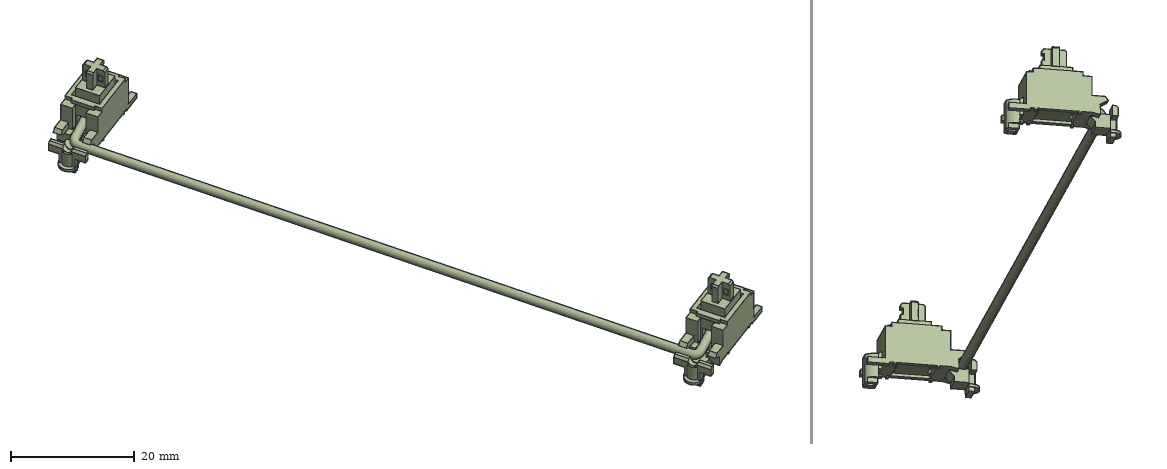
import cadquery as cq
import math


TOTAL_LENGTH = 121.1
TOTAL_DEPTH = 19.2
TOTAL_HEIGHT = 14.85
HOUSING_WIDTH = 6.8
HALF_WIDTH = HOUSING_WIDTH / 2
STATION_X = (TOTAL_LENGTH - HOUSING_WIDTH) / 2

WIRE_DIAMETER = 1.6
WIRE_Y = 3.05
WIRE_Z = 4.4
WIRE_BEND_RADIUS = 1.1
ARM_CLIMB_ANGLE = 20
ARM_LENGTH = 9.0
ARM_HOLE_DIAMETER = 1.7

BODY_FRONT = 5.45
BODY_BACK = 16.3
BODY_BOTTOM = 3.25
SHOULDER_Z = 9.5
BODY_TOP = 10.2
RIDGE_STEP = 1.5
RIDGE_TONGUE_WIDTH = 4.2
RIDGE_TONGUE_STEP = 0.4
CAVITY_WIDTH = 5.1
CAVITY_FRONT = 7.65
CAVITY_BACK = 14.2
RECESS_WIDTH = 2.5
RECESS_DEPTH = 1.05
WINDOW_WIDTH = 1.9
WINDOW_TOP = 7.4
FOOT_SIZE = 0.4
FOOT_INSET = 2.0
FLANGE_BOTTOM = 2.95

EAR_WIDTH = 1.45
EAR_TOP = 6.2
EAR_TOP_FRONT = 3.3
EAR_TIP_Y = 2.75
EAR_TIP_Z = 5.55
EAR_UNDERCUT_Z = 4.75
EAR_FRONT = 4.1

CRADLE_WIDTH = 3.3
CRADLE_BOTTOM = 1.4
CRADLE_TOP = 3.8
WEB_TOP = 4.9
CRADLE_BACK = 4.5
CRADLE_SLOPE_Z = 2.3

PLATE_FRONT = 1.1
PLATE_BACK = 2.05
PLATE_TOP = 4.75
PLATE_CHAMFER = 0.4
PLATE_NOTCH_DIAMETER = 1.7
TAB_WIDTH = 2.9
BOSS_BOTTOM = 1.2
BOSS_TOP = 3.9
BOSS_FRONT = 0.7
BOSS_RADIUS = 1.3
LIP_BOTTOM = 0.7
LIP_RADIUS = 1.7

REAR_EAR_WIDTH = 1.1
REAR_EAR_FRONT = 15.6
REAR_EAR_TOP = 3.9
PEG_RADIUS = 1.85
PEG_CENTRE_Y = 17.6
PEG_FRONT = 17.1
PEG_TOP = 5.2
PEG_BOTTOM = 0.3
PEG_FOOT_Z = 1.1
PEG_FOOT_WIDTH = 2.7
PEG_TIP_DEPTH = 1.2
RIB_WIDTH = 1.7
RIB_TOP = 6.0

STEM_WIDTH = 4.4
STEM_FRONT = 8.4
STEM_BACK = 13.85
STEM_BOTTOM = 3.6
STEM_SHOULDER_Z = 11.3
CROSS_SPAN = 4.05
CROSS_THICKNESS = 1.15
CROSS_CHAMFER = 0.3
STEM_LEG_WIDTH = 1.2
STEM_LEG_FRONT = 7.85
STEM_LEG_TOP = 9.0
POCKET_OFFSET = 1.2
POCKET_WIDTH = 0.8
POCKET_DEPTH = 0.2
POCKET_BOTTOM = 12.3
POCKET_TOP = 13.5
NOTCH_BOTTOM = 12.9
NOTCH_TOP = 14.0
NOTCH_DEPTH = 0.4


def block(x_range, y_range, z_range):
    """Box between two limits on each axis."""
    (x0, x1), (y0, y1), (z0, z1) = x_range, y_range, z_range
    return cq.Workplane("XY").box(x1 - x0, y1 - y0, z1 - z0, centered=False).translate((x0, y0, z0))


def centred_block(width, y_range, z_range):
    """Box centred on X = 0."""
    return block((-width / 2, width / 2), y_range, z_range)


def side_profile(points, x_range):
    """Prism along X from a (Y, Z) outline."""
    x0, x1 = x_range
    return cq.Workplane("YZ").polyline(points).close().extrude(x1 - x0).translate((x0, 0, 0))


def upright_cylinder(radius, y_centre, z_range):
    """Cylinder along Z on the X = 0 plane."""
    z0, z1 = z_range
    return cq.Workplane("XY").circle(radius).extrude(z1 - z0).translate((0, y_centre, z0))


def both_sides(solid):
    """The solid together with its mirror image across X = 0."""
    return solid.union(solid.mirror("YZ"))


def housing_body():
    body = centred_block(HOUSING_WIDTH, (BODY_FRONT, BODY_BACK), (BODY_BOTTOM, SHOULDER_Z))
    ridge_front = BODY_FRONT + RIDGE_STEP
    ridge_back = BODY_BACK - RIDGE_STEP + RIDGE_TONGUE_STEP
    ridge_z = (SHOULDER_Z, BODY_TOP)
    body = body.union(centred_block(HOUSING_WIDTH, (ridge_front, ridge_back), ridge_z))
    tongue_y = (ridge_front - RIDGE_TONGUE_STEP, ridge_back + RIDGE_TONGUE_STEP)
    body = body.union(centred_block(RIDGE_TONGUE_WIDTH, tongue_y, ridge_z))
    for foot_y in (BODY_FRONT + FOOT_INSET, BODY_BACK - FOOT_INSET + FOOT_SIZE):
        foot = block(
            (CAVITY_WIDTH / 2, HALF_WIDTH),
            (foot_y - FOOT_SIZE / 2, foot_y + FOOT_SIZE / 2),
            (FLANGE_BOTTOM, BODY_BOTTOM),
        )
        body = body.union(both_sides(foot))
    return body


def front_ears():
    outline = [
        (BODY_FRONT, EAR_TOP),
        (EAR_TOP_FRONT, EAR_TOP),
        (EAR_TIP_Y, EAR_TIP_Z),
        (EAR_FRONT, EAR_UNDERCUT_Z),
        (EAR_FRONT, FLANGE_BOTTOM),
        (BODY_FRONT, BODY_BOTTOM),
    ]
    return both_sides(side_profile(outline, (HALF_WIDTH - EAR_WIDTH, HALF_WIDTH)))


def wire_cradle():
    outline = [
        (PLATE_BACK, CRADLE_BOTTOM),
        (CRADLE_BACK, CRADLE_BOTTOM),
        (CRADLE_BACK, CRADLE_SLOPE_Z),
        (BODY_FRONT, BODY_BOTTOM),
        (BODY_FRONT, CRADLE_TOP),
        (PLATE_BACK, CRADLE_TOP),
    ]
    cradle = side_profile(outline, (-CRADLE_WIDTH / 2, CRADLE_WIDTH / 2))
    web = block((WINDOW_WIDTH / 2, HALF_WIDTH), (EAR_FRONT, BODY_FRONT), (BODY_BOTTOM, WEB_TOP))
    return cradle.union(both_sides(web))


def front_latch():
    plate_y = (PLATE_FRONT, PLATE_BACK)
    latch = centred_block(HOUSING_WIDTH, plate_y, (FLANGE_BOTTOM, PLATE_TOP))
    latch = latch.edges(">Z and <Y").chamfer(PLATE_CHAMFER)
    notch = cq.Workplane("XZ").circle(PLATE_NOTCH_DIAMETER / 2).extrude(-PLATE_BACK)
    latch = latch.cut(notch.translate((0, 0, PLATE_TOP)))
    latch = latch.union(centred_block(TAB_WIDTH, plate_y, (0, FLANGE_BOTTOM)))
    boss_and_lip = upright_cylinder(BOSS_RADIUS, BOSS_FRONT + BOSS_RADIUS, (BOSS_BOTTOM, BOSS_TOP))
    boss_and_lip = boss_and_lip.union(upright_cylinder(LIP_RADIUS, LIP_RADIUS, (LIP_BOTTOM, BOSS_BOTTOM)))
    front_half = centred_block(HOUSING_WIDTH, (0, PLATE_BACK), (0, PLATE_TOP))
    return latch.union(boss_and_lip.intersect(front_half))


def rear_clip():
    ear = block(
        (HALF_WIDTH - REAR_EAR_WIDTH, HALF_WIDTH),
        (REAR_EAR_FRONT, TOTAL_DEPTH),
        (FLANGE_BOTTOM, REAR_EAR_TOP),
    )
    peg_y = (PEG_FRONT, TOTAL_DEPTH)
    peg = upright_cylinder(PEG_RADIUS, PEG_CENTRE_Y, (PEG_BOTTOM, PEG_TOP))
    peg = peg.intersect(
        centred_block(2 * PEG_RADIUS, peg_y, (PEG_FOOT_Z, PEG_TOP)).union(
            centred_block(PEG_FOOT_WIDTH, peg_y, (PEG_BOTTOM, PEG_FOOT_Z))
        )
    )
    tip_start = (PEG_FRONT + TOTAL_DEPTH - PEG_TIP_DEPTH) / 2
    tip = centred_block(PEG_FOOT_WIDTH / 2, (tip_start, tip_start + PEG_TIP_DEPTH), (0, PEG_FOOT_Z))
    rib_outline = [
        (BODY_BACK, FLANGE_BOTTOM),
        (PEG_FRONT + PEG_TIP_DEPTH / 2, FLANGE_BOTTOM),
        (PEG_FRONT + PEG_TIP_DEPTH / 2, PEG_TOP),
        (BODY_BACK, RIB_TOP),
    ]
    rib = side_profile(rib_outline, (-RIB_WIDTH / 2, RIB_WIDTH / 2))
    return both_sides(ear).union(peg).union(tip).union(rib)


def make_housing():
    housing = housing_body().union(front_ears()).union(wire_cradle()).union(front_latch()).union(rear_clip())
    cavity = centred_block(CAVITY_WIDTH, (CAVITY_FRONT, CAVITY_BACK), (0, BODY_TOP))
    recess_y = (BODY_FRONT, BODY_FRONT + RECESS_DEPTH)
    recess = centred_block(RECESS_WIDTH, recess_y, (WEB_TOP, SHOULDER_Z))
    window = centred_block(WINDOW_WIDTH, (BODY_FRONT, CAVITY_FRONT), (WIRE_Z, WINDOW_TOP))
    return housing.cut(cavity).cut(recess).cut(window)


def arm_direction():
    angle = math.radians(ARM_CLIMB_ANGLE)
    return cq.Vector(0, math.cos(angle), math.sin(angle))


def make_stem():
    stem = centred_block(STEM_WIDTH, (STEM_FRONT, STEM_BACK), (STEM_BOTTOM, STEM_SHOULDER_Z))
    centre_y = (STEM_FRONT + STEM_BACK) / 2
    cross_z = (STEM_SHOULDER_Z, TOTAL_HEIGHT)
    half_span = CROSS_SPAN / 2
    half_thickness = CROSS_THICKNESS / 2
    side_arms_y = (centre_y - half_thickness, centre_y + half_thickness)
    cross = centred_block(CROSS_SPAN, side_arms_y, cross_z)
    cross = cross.union(centred_block(CROSS_THICKNESS, (centre_y - half_span, centre_y + half_span), cross_z))
    outer_tips = cross.edges(">Z").edges("<X or >X or <Y or >Y")
    stem = stem.union(outer_tips.chamfer(CROSS_CHAMFER))
    leg = block(
        (STEM_WIDTH / 2 - STEM_LEG_WIDTH, STEM_WIDTH / 2),
        (STEM_LEG_FRONT, STEM_FRONT),
        (STEM_BOTTOM, STEM_LEG_TOP),
    )
    stem = stem.union(both_sides(leg))
    pocket = block(
        (POCKET_OFFSET - POCKET_WIDTH / 2, POCKET_OFFSET + POCKET_WIDTH / 2),
        (side_arms_y[0], side_arms_y[0] + POCKET_DEPTH),
        (POCKET_BOTTOM, POCKET_TOP),
    )
    stem = stem.cut(both_sides(pocket))
    cross_back = centre_y + half_span
    notch_outline = [
        (cross_back, NOTCH_BOTTOM),
        (cross_back - NOTCH_DEPTH, NOTCH_BOTTOM),
        (cross_back - NOTCH_DEPTH, NOTCH_TOP),
        (cross_back, NOTCH_TOP),
    ]
    stem = stem.cut(side_profile(notch_outline, (-half_thickness, half_thickness)))
    arm_hole = cq.Solid.makeCylinder(
        ARM_HOLE_DIAMETER / 2, ARM_LENGTH, cq.Vector(0, WIRE_Y, WIRE_Z), arm_direction()
    )
    return stem.cut(cq.Workplane(arm_hole))


def make_wire():
    along_x = cq.Vector(1, 0, 0)
    climb = arm_direction()
    left_corner = cq.Vector(-STATION_X, WIRE_Y, WIRE_Z)
    right_corner = cq.Vector(STATION_X, WIRE_Y, WIRE_Z)
    bend_middle = (along_x + climb) * (WIRE_BEND_RADIUS * (1 - math.sqrt(0.5)))
    bend_middle_right = cq.Vector(-bend_middle.x, bend_middle.y, bend_middle.z)
    left_tip = left_corner + climb * ARM_LENGTH
    right_tip = right_corner + climb * ARM_LENGTH
    left_arm_end = left_corner + climb * WIRE_BEND_RADIUS
    right_arm_end = right_corner + climb * WIRE_BEND_RADIUS
    bar_left = left_corner + along_x * WIRE_BEND_RADIUS
    bar_right = right_corner - along_x * WIRE_BEND_RADIUS
    path = cq.Wire.assembleEdges(
        [
            cq.Edge.makeLine(left_tip, left_arm_end),
            cq.Edge.makeThreePointArc(left_arm_end, left_corner + bend_middle, bar_left),
            cq.Edge.makeLine(bar_left, bar_right),
            cq.Edge.makeThreePointArc(bar_right, right_corner + bend_middle_right, right_arm_end),
            cq.Edge.makeLine(right_arm_end, right_tip),
        ]
    )
    section = cq.Workplane(cq.Plane(left_tip, along_x, climb * -1)).circle(WIRE_DIAMETER / 2)
    return section.sweep(cq.Workplane(path))


wire = make_wire()
housings = []
stems = []
for station_x in (-STATION_X, STATION_X):
    housings.append(make_housing().translate((station_x, 0, 0)).cut(wire))
    stems.append(make_stem().translate((station_x, 0, 0)))

result = cq.Compound.makeCompound(
    [
        *[housing.val() for housing in housings],
        *[stem.val() for stem in stems],
        wire.val(),
    ]
)